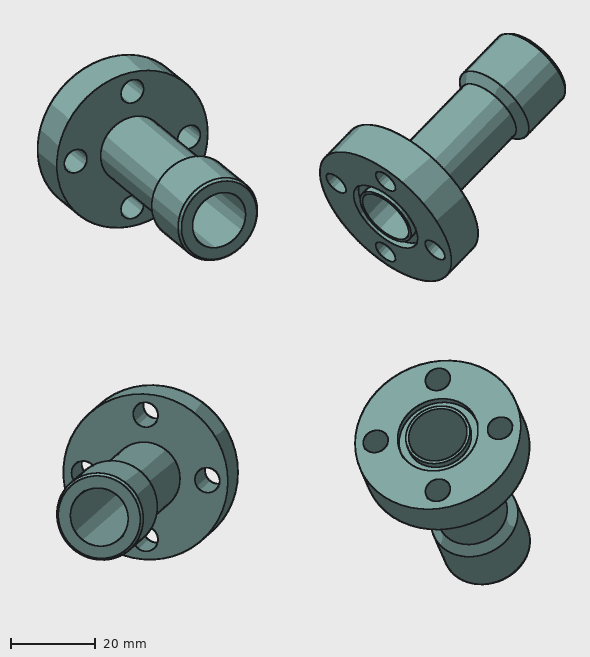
import cadquery as cq

total_length = 55.0
flange_thickness = 10.0
collar_length = 14.35
end_chamfer_length = 0.7
end_chamfer_depth = 0.55

flange_diameter = 40.0
tube_diameter = 16.8
collar_diameter = 21.0
bore_diameter = 14.0

groove_outer_diameter = 19.4
groove_inner_diameter = 15.45
groove_depth = 1.8

bolt_hole_count = 4
bolt_hole_diameter = 6.0
bolt_circle_diameter = 30.0


def make_body():
    """Revolve the flange, tube and collar outline about the X axis."""
    flange_radius = flange_diameter / 2
    tube_radius = tube_diameter / 2
    collar_radius = collar_diameter / 2
    collar_start = total_length - collar_length
    cone_start = collar_start - (collar_radius - tube_radius)
    outline = (
        cq.Workplane("XY")
        .moveTo(0, 0)
        .lineTo(0, flange_radius)
        .lineTo(flange_thickness, flange_radius)
        .lineTo(flange_thickness, tube_radius)
        .lineTo(cone_start, tube_radius)
        .lineTo(collar_start, collar_radius)
        .lineTo(total_length - end_chamfer_length, collar_radius)
        .lineTo(total_length, collar_radius - end_chamfer_depth)
        .lineTo(total_length, 0)
        .close()
    )
    return outline.revolve(360, (0, 0, 0), (1, 0, 0))


def make_bore():
    return cq.Workplane("YZ").circle(bore_diameter / 2).extrude(total_length)


def make_groove():
    return (
        cq.Workplane("YZ")
        .circle(groove_outer_diameter / 2)
        .circle(groove_inner_diameter / 2)
        .extrude(groove_depth)
    )


def make_bolt_holes():
    return (
        cq.Workplane("YZ")
        .polarArray(bolt_circle_diameter / 2, 0, 360, bolt_hole_count)
        .circle(bolt_hole_diameter / 2)
        .extrude(flange_thickness)
    )


result = make_body().cut(make_bore()).cut(make_groove()).cut(make_bolt_holes())